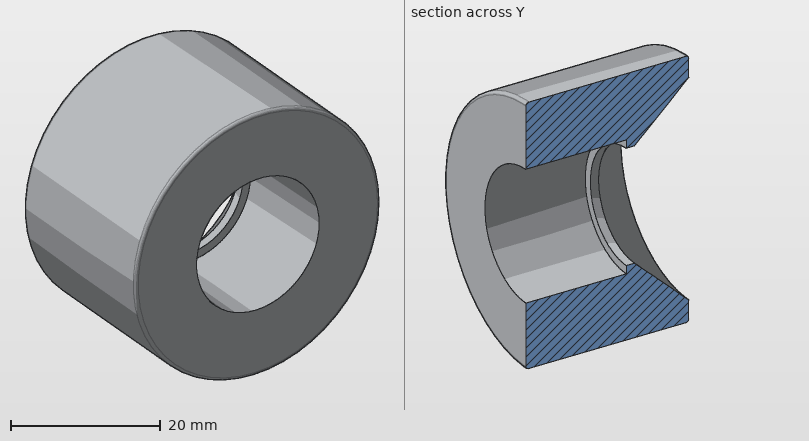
import cadquery as cq

length = 26.0
outer_diameter = 40.0
edge_radius = 0.5

mouth_diameter = 33.3
mouth_depth = 8.7
bore_diameter = 17.5

counterbore_diameter = 20.0
counterbore_depth = 16.0

outer_radius = outer_diameter / 2
bore_radius = bore_diameter / 2
mouth_radius = mouth_diameter / 2
counterbore_radius = counterbore_diameter / 2
counterbore_start = length - counterbore_depth

body = cq.Workplane("YZ").circle(outer_radius).extrude(length).edges().fillet(edge_radius)

bore = cq.Workplane("YZ").circle(bore_radius).extrude(length)

counterbore = (
    cq.Workplane("YZ", origin=(counterbore_start, 0, 0))
    .circle(counterbore_radius)
    .extrude(counterbore_depth)
)

mouth = (
    cq.Workplane("XY")
    .polyline([(0, 0), (0, mouth_radius), (mouth_depth, bore_radius), (mouth_depth, 0)])
    .close()
    .revolve(360, (0, 0, 0), (1, 0, 0))
)

result = body.cut(bore).cut(counterbore).cut(mouth)